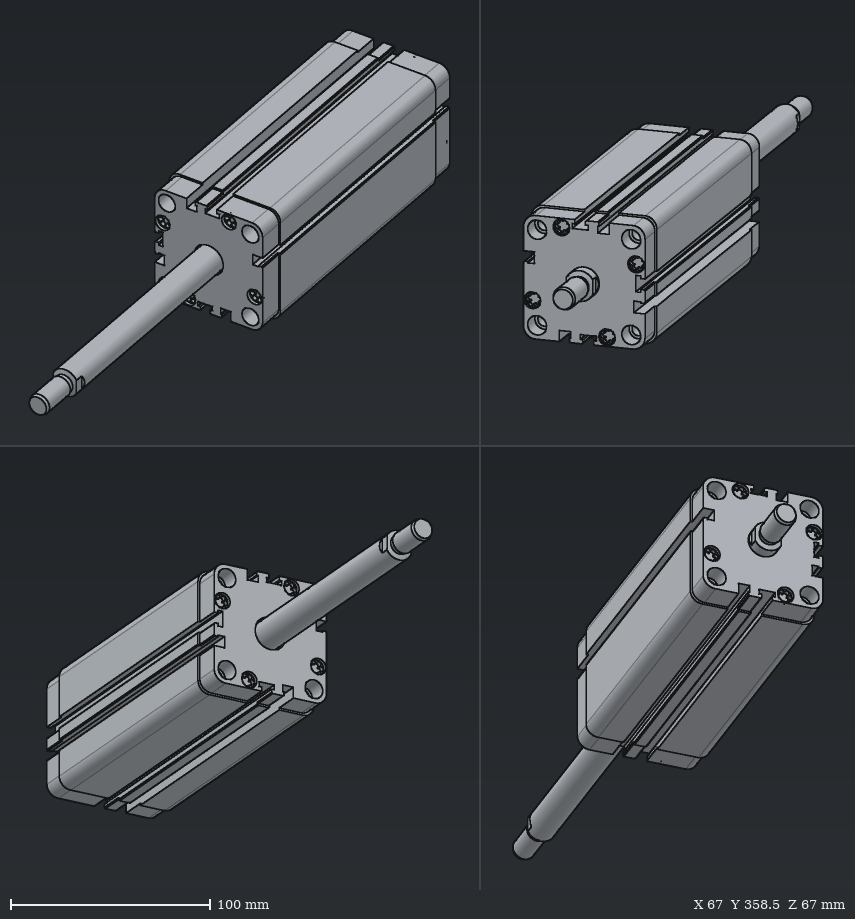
import cadquery as cq
import math

total_length = 358.5
body_size = 67.0
cap_size = 65.0
corner_radius = 6.5
cap_length = 14.7
housing_length = 171.0
rear_rod_overhang = 31.5

rear_tip_y = total_length / 2
front_tip_y = -total_length / 2
rear_face_y = rear_tip_y - rear_rod_overhang
front_face_y = rear_face_y - housing_length

slot_wall_x = -13.3
rib_head_left_x = -8.0
rib_head_right_x = -0.7
shallow_slot_wall_x = 5.0
deep_slot_undercut = 0.7
shallow_slot_undercut = 1.5
rib_bevel = 0.55
deep_slot_floor_z = 26.5
shallow_slot_floor_z = 27.5
lip_bottom_z = 30.0

mount_hole_offset = 25.0
mount_hole_diameter = 6.8
mount_counterbore_diameter = 10.0
mount_counterbore_depth = 10.8
screw_offset_along = 12.2
screw_offset_out = 27.5
screw_pocket_diameter = 8.5
screw_pocket_depth = 2.0
socket_core_diameter = 5.5
socket_lobe_count = 6
socket_lobe_diameter = 2.5
socket_lobe_offset = 2.8
socket_depth = 3.0

rod_diameter = 16.0
rod_bore_diameter = 17.5
rod_bore_depth = 3.5
flat_width = 14.0
flat_length = 5.5
shoulder_cone_length = 0.7
stud_length = 24.0
stud_diameter = 12.0
stud_chamfer_length = 1.8
stud_tip_diameter = 10.5
relief_diameter = 10.5
relief_length = 3.2


def cylinder_along_y(diameter, start_y, end_y, x=0, z=0):
    """Round bar parallel to Y between two Y positions."""
    base = cq.Workplane("XZ", origin=(x, start_y, z)).circle(diameter / 2)
    return base.extrude(start_y - end_y)


def rounded_block(size, start_y, end_y):
    """Square block parallel to Y with rounded long edges."""
    base = cq.Workplane("XZ", origin=(0, start_y, 0)).rect(size, size)
    return base.extrude(start_y - end_y).edges("|Y").fillet(corner_radius)


def slot_cutter(points, start_y, end_y):
    """Cutter with the given XZ outline, running between two Y positions."""
    base = cq.Workplane("XZ", origin=(0, start_y, 0)).polyline(points).close()
    return base.extrude(start_y - end_y)


def turned(shape, angle):
    """Shape turned about the cylinder axis; positive angles carry the top to the left."""
    return shape.rotate((0, 0, 0), (0, -1, 0), angle)


def make_deep_slot(surface_z, start_y, end_y):
    """Slot undercut and beveled on the rib side only."""
    neck_x = rib_head_left_x + deep_slot_undercut
    points = [
        (slot_wall_x, surface_z),
        (slot_wall_x, deep_slot_floor_z),
        (neck_x, deep_slot_floor_z),
        (neck_x, lip_bottom_z),
        (rib_head_left_x, lip_bottom_z),
        (rib_head_left_x, surface_z - rib_bevel),
        (rib_head_left_x + rib_bevel, surface_z),
    ]
    return slot_cutter(points, start_y, end_y)


def make_shallow_slot(surface_z, start_y, end_y):
    """T-slot undercut on both sides, beveled on the rib side."""
    neck_x = rib_head_right_x - shallow_slot_undercut
    wall_x = shallow_slot_wall_x + shallow_slot_undercut
    points = [
        (rib_head_right_x - rib_bevel, surface_z),
        (rib_head_right_x, surface_z - rib_bevel),
        (rib_head_right_x, lip_bottom_z),
        (neck_x, lip_bottom_z),
        (neck_x, shallow_slot_floor_z),
        (wall_x, shallow_slot_floor_z),
        (wall_x, lip_bottom_z),
        (shallow_slot_wall_x, lip_bottom_z),
        (shallow_slot_wall_x, surface_z),
    ]
    return slot_cutter(points, start_y, end_y)


def make_segment(size, start_y, end_y):
    """Housing segment with its slots; the right side has no shallow slot."""
    segment = rounded_block(size, start_y, end_y)
    deep_slot = make_deep_slot(size / 2, start_y, end_y)
    shallow_slot = make_shallow_slot(size / 2, start_y, end_y)
    for angle in (0, 90, 180, 270):
        segment = segment.cut(turned(deep_slot, angle))
    for angle in (0, 90, 180):
        segment = segment.cut(turned(shallow_slot, angle))
    return segment


def make_housing():
    """Tube with a slightly smaller cap at each end."""
    front_seam_y = front_face_y + cap_length
    rear_seam_y = rear_face_y - cap_length
    front_cap = make_segment(cap_size, front_face_y, front_seam_y)
    tube = make_segment(body_size, front_seam_y, rear_seam_y)
    rear_cap = make_segment(cap_size, rear_seam_y, rear_face_y)
    return tube.union(front_cap).union(rear_cap)


def make_mount_hole():
    """Through hole, counterbored from both end faces."""
    place = {"x": mount_hole_offset, "z": mount_hole_offset}
    front_floor_y = front_face_y + mount_counterbore_depth
    rear_floor_y = rear_face_y - mount_counterbore_depth
    hole = cylinder_along_y(mount_hole_diameter, front_face_y, rear_face_y, **place)
    hole = hole.union(cylinder_along_y(mount_counterbore_diameter, front_face_y, front_floor_y, **place))
    return hole.union(cylinder_along_y(mount_counterbore_diameter, rear_floor_y, rear_face_y, **place))


def make_screw_pocket(x, z, face_y, inward):
    """Round recess over a six-lobe socket; inward is the Y direction into the cap."""
    floor_y = face_y + inward * screw_pocket_depth
    socket_y = floor_y + inward * socket_depth
    pocket = cylinder_along_y(screw_pocket_diameter, face_y, floor_y, x, z)
    pocket = pocket.union(cylinder_along_y(socket_core_diameter, floor_y, socket_y, x, z))
    for index in range(socket_lobe_count):
        angle = 2 * math.pi * index / socket_lobe_count
        lobe_x = x + socket_lobe_offset * math.cos(angle)
        lobe_z = z + socket_lobe_offset * math.sin(angle)
        pocket = pocket.union(cylinder_along_y(socket_lobe_diameter, floor_y, socket_y, lobe_x, lobe_z))
    return pocket


def make_flat(side, shoulder_y, inward):
    """Cutter for one wrench flat that runs out of the rod on a 45 degree ramp."""
    flat_x = flat_width / 2
    outer_x = rod_diameter / 2
    flat_end_y = shoulder_y + inward * flat_length
    ramp_end_y = flat_end_y + inward * (outer_x - flat_x)
    outline = cq.Workplane("XY", origin=(0, 0, -outer_x)).polyline([
        (side * flat_x, shoulder_y),
        (side * flat_x, flat_end_y),
        (side * outer_x, ramp_end_y),
        (side * outer_x, shoulder_y),
    ])
    return outline.close().extrude(rod_diameter)


def make_rod():
    """Rod revolved about Y, with wrench flats beside both shoulders."""
    front_shoulder_y = front_tip_y + stud_length
    rear_shoulder_y = rear_tip_y - stud_length
    front_half = [
        (0, front_tip_y),
        (stud_tip_diameter / 2, front_tip_y),
        (stud_diameter / 2, front_tip_y + stud_chamfer_length),
        (stud_diameter / 2, front_shoulder_y - relief_length),
        (relief_diameter / 2, front_shoulder_y - relief_length),
        (relief_diameter / 2, front_shoulder_y),
        (rod_diameter / 2, front_shoulder_y + shoulder_cone_length),
    ]
    rear_half = [(x, -y) for x, y in reversed(front_half)]
    profile = cq.Workplane("XY").polyline(front_half + rear_half).close()
    rod = profile.revolve(360, (0, 0, 0), (0, 1, 0))

    for side in (-1, 1):
        rod = rod.cut(make_flat(side, front_shoulder_y, 1))
        rod = rod.cut(make_flat(side, rear_shoulder_y, -1))
    return rod


housing = make_housing()

for angle in (0, 90, 180, 270):
    housing = housing.cut(turned(make_mount_hole(), angle))

screw_x, screw_z = screw_offset_along, screw_offset_out
for _ in range(4):
    housing = housing.cut(make_screw_pocket(screw_x, screw_z, front_face_y, 1))
    housing = housing.cut(make_screw_pocket(screw_x, screw_z, rear_face_y, -1))
    screw_x, screw_z = -screw_z, screw_x

housing = housing.cut(cylinder_along_y(rod_bore_diameter, front_face_y, front_face_y + rod_bore_depth))

result = housing.union(make_rod())